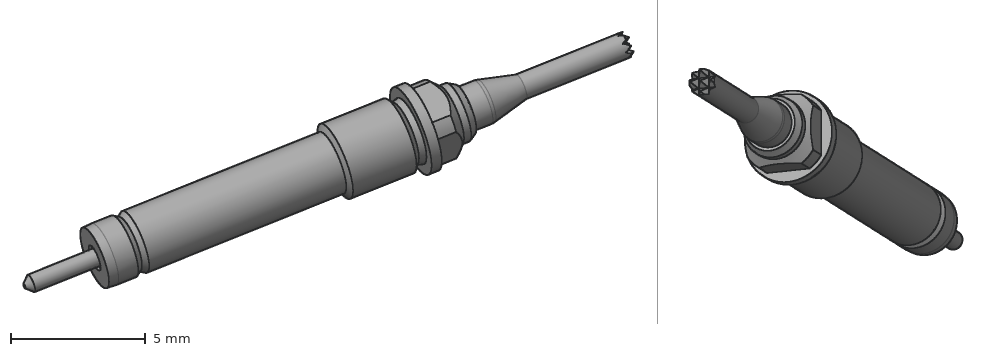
import cadquery as cq
import math

total_length = 25.0
tip_y = total_length / 2
pin_end_y = -total_length / 2

plunger_radius = 0.5
cone_start_y = 8.02
sleeve_radius = 0.88
cone_end_y = 6.5
cone_blend_radius = 0.58
sleeve_end_y = 5.7

shoulder_radius = 1.18
shoulder_chamfer_length = 0.3
shoulder_chamfer_depth = 0.18
shoulder_end_y = 5.1

drive_corner_radius = 1.58
drive_across_flats = 2.65

flange_radius = 1.75
flange_front_y = 3.9
flange_thickness = 0.42
neck_radius = 1.25
neck_edge_radius = 1.32
neck_bottom_y = 3.2

collar_radius = 1.5
collar_front_y = 2.98
collar_back_y = 0.35
collar_taper_length = 0.15
barrel_diameter = 2.48
barrel_radius = barrel_diameter / 2
barrel_end_y = -9.6

crimp_y = -8.18
crimp_half_width = 0.22
crimp_depth = 0.15
end_taper_length = 0.38
end_taper_depth = 0.02

pin_radius = 0.35
pin_tip_radius = 0.1
pin_tip_length = 0.28
pin_recess_radius = 0.5
pin_recess_depth = 0.12

tooth_pitch = 0.4
tooth_depth = 0.35
tooth_grooves = 4


def turned_body():
    """Revolved body about the Y axis, sketched as (radius, y) from the tip backwards."""
    flange_back_y = flange_front_y - flange_thickness
    drive_chamfer_end_y = shoulder_end_y - (drive_corner_radius - shoulder_radius)

    cone_angle = math.atan2(sleeve_radius - plunger_radius, cone_start_y - cone_end_y)
    tangent = cone_blend_radius * math.tan(cone_angle / 2)
    blend_start = (
        sleeve_radius - tangent * math.sin(cone_angle),
        cone_end_y + tangent * math.cos(cone_angle),
    )
    blend_end = (sleeve_radius, cone_end_y - tangent)
    blend_centre = (sleeve_radius - cone_blend_radius, blend_end[1])
    blend_middle = (
        blend_centre[0] + cone_blend_radius * math.cos(cone_angle / 2),
        blend_centre[1] + cone_blend_radius * math.sin(cone_angle / 2),
    )

    profile = (
        cq.Workplane("XY")
        .moveTo(0, tip_y)
        .lineTo(plunger_radius, tip_y)
        .lineTo(plunger_radius, cone_start_y)
        .lineTo(*blend_start)
        .threePointArc(blend_middle, blend_end)
        .lineTo(sleeve_radius, sleeve_end_y)
        .lineTo(shoulder_radius - shoulder_chamfer_depth, sleeve_end_y)
        .lineTo(shoulder_radius, sleeve_end_y - shoulder_chamfer_length)
        .lineTo(shoulder_radius, shoulder_end_y)
        .lineTo(drive_corner_radius, drive_chamfer_end_y)
        .lineTo(drive_corner_radius, flange_front_y)
        .lineTo(flange_radius, flange_front_y)
        .lineTo(flange_radius, flange_back_y)
        .lineTo(neck_edge_radius, flange_back_y)
        .lineTo(neck_radius, neck_bottom_y)
        .lineTo(collar_radius, collar_front_y)
        .lineTo(collar_radius, collar_back_y)
        .lineTo(barrel_radius, collar_back_y - collar_taper_length)
        .lineTo(barrel_radius, crimp_y + crimp_half_width)
        .lineTo(barrel_radius - crimp_depth, crimp_y)
        .lineTo(barrel_radius, crimp_y - crimp_half_width)
        .lineTo(barrel_radius, barrel_end_y + end_taper_length)
        .lineTo(barrel_radius - end_taper_depth, barrel_end_y)
        .lineTo(pin_recess_radius, barrel_end_y)
        .lineTo(pin_recess_radius, barrel_end_y + pin_recess_depth)
        .lineTo(pin_radius, barrel_end_y + pin_recess_depth)
        .lineTo(pin_radius, pin_end_y + pin_tip_length)
        .lineTo(pin_tip_radius, pin_end_y)
        .lineTo(0, pin_end_y)
        .close()
    )
    return profile.revolve(360, (0, 0, 0), (0, 1, 0))


def drive_flat_cutter():
    """Square ring that trims the drive corners down to four flats."""
    drive_length = shoulder_end_y - flange_front_y
    blank_side = 2 * flange_radius
    centre_y = flange_front_y + drive_length / 2
    blank = cq.Workplane("XY").box(blank_side, drive_length, blank_side)
    square = cq.Workplane("XY").box(drive_across_flats, drive_length, drive_across_flats)
    return blank.cut(square).translate((0, centre_y, 0))


def tip_groove(offset):
    """V groove running along Z across the plunger tip, centred at X = offset."""
    half_pitch = tooth_pitch / 2
    groove_length = 4 * plunger_radius
    return (
        cq.Workplane("XY")
        .moveTo(offset - half_pitch, tip_y)
        .lineTo(offset, tip_y - tooth_depth)
        .lineTo(offset + half_pitch, tip_y)
        .close()
        .extrude(groove_length / 2, both=True)
    )


result = turned_body().cut(drive_flat_cutter())

for index in range(tooth_grooves):
    groove = tip_groove((index - (tooth_grooves - 1) / 2) * tooth_pitch)
    result = result.cut(groove)
    result = result.cut(groove.rotate((0, 0, 0), (0, 1, 0), 90))